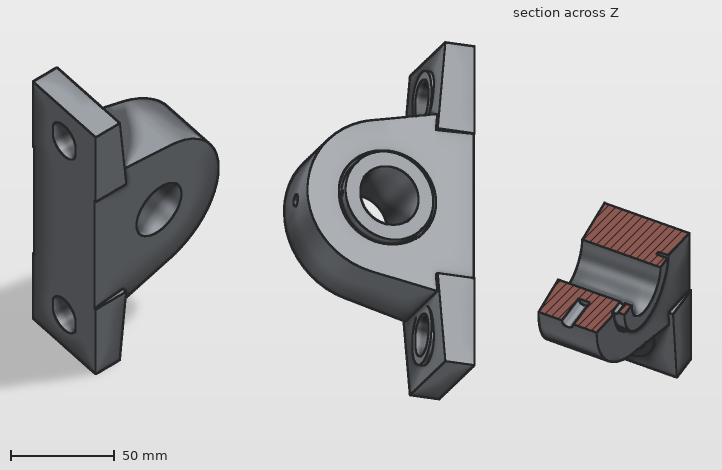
import cadquery as cq
import math

plate_width = 48.0
plate_length = 165.0
plate_end_thickness = 15.0
draft = math.tan(math.radians(5))

bore_height = 43.0
housing_radius = 40.0
housing_base_width = 46.2
foot_start = 37.5
flank_angle = 11.5

slot_spacing = 121.1
slot_width = 17.5
slot_length = 21.0
pad_height = 18.0
pad_width = 25.5
pad_length = 29.4

bore_radius = 15.0
bush_radius = 22.6
bush_end = 22.0
recess_radius = 24.3
recess_floor = 16.0

grease_hole_diameter = 6.0
grease_hole_depth = housing_radius - bush_radius
oil_hole_diameter = 2.5
oil_hole_offset = -17.0


def foot(side):
    """Mounting foot on the +Z or -Z side, growing thicker toward the housing."""
    end = plate_length / 2
    root_thickness = plate_end_thickness + draft * (end - foot_start)
    outline = [(0, 0), (0, side * end), (plate_end_thickness, side * end),
               (root_thickness, side * foot_start), (0, side * foot_start)]
    return cq.Workplane("YZ").polyline(outline).close().extrude(plate_width / 2, both=True)


def slot_prism(length, width, height, z):
    """Rounded slot along Z, rising from the mounting face."""
    return (cq.Workplane("XZ", origin=(0, 0, z))
            .slot2D(length, width, 90).extrude(-height))


def housing():
    """Rounded bearing housing with straight flanks, narrowing away from the mounting face."""
    angle = math.radians(flank_angle)
    tangent_y = bore_height + housing_radius * math.sin(angle)
    tangent_z = housing_radius * math.cos(angle)
    top_y = bore_height + housing_radius
    flank_foot_y = plate_end_thickness
    flank_foot_z = tangent_z + (tangent_y - flank_foot_y) * math.tan(angle)
    profile = (cq.Workplane("YZ").moveTo(0, -flank_foot_z)
               .lineTo(flank_foot_y, -flank_foot_z)
               .lineTo(tangent_y, -tangent_z)
               .threePointArc((top_y, 0), (tangent_y, tangent_z))
               .lineTo(flank_foot_y, flank_foot_z)
               .lineTo(0, flank_foot_z).close()
               .extrude(plate_width / 2, both=True))
    base = housing_base_width / 2
    tip = base - draft * top_y
    wedge = (cq.Workplane("XY")
             .polyline([(-base, 0), (base, 0), (tip, top_y), (-tip, top_y)]).close()
             .extrude(plate_length / 2, both=True))
    return profile.intersect(wedge)


def bearing_cylinder(radius, x_start, x_end):
    """Cylinder on the bearing axis between two X positions."""
    return (cq.Workplane("YZ", origin=(x_start, bore_height, 0))
            .circle(radius).extrude(x_end - x_start))


def radial_hole(diameter, x, inner_radius, depth):
    """Hole along +Y, starting at a radius from the bearing axis."""
    return (cq.Workplane("XZ", origin=(x, bore_height + inner_radius, 0))
            .circle(diameter / 2).extrude(-depth))


result = housing()
for side in (-1, 1):
    result = result.union(foot(side))
    result = result.union(slot_prism(pad_length, pad_width, pad_height, side * slot_spacing / 2))
for side in (-1, 1):
    result = result.cut(slot_prism(slot_length, slot_width, bore_height, side * slot_spacing / 2))

result = result.cut(bearing_cylinder(recess_radius, -plate_width / 2, -recess_floor))
result = result.union(bearing_cylinder(bush_radius, -bush_end, 0))
result = result.cut(bearing_cylinder(bore_radius, -plate_width / 2, plate_width / 2))

result = result.cut(radial_hole(grease_hole_diameter, 0, bush_radius, grease_hole_depth))
result = result.cut(radial_hole(oil_hole_diameter, oil_hole_offset, 0, bush_radius))